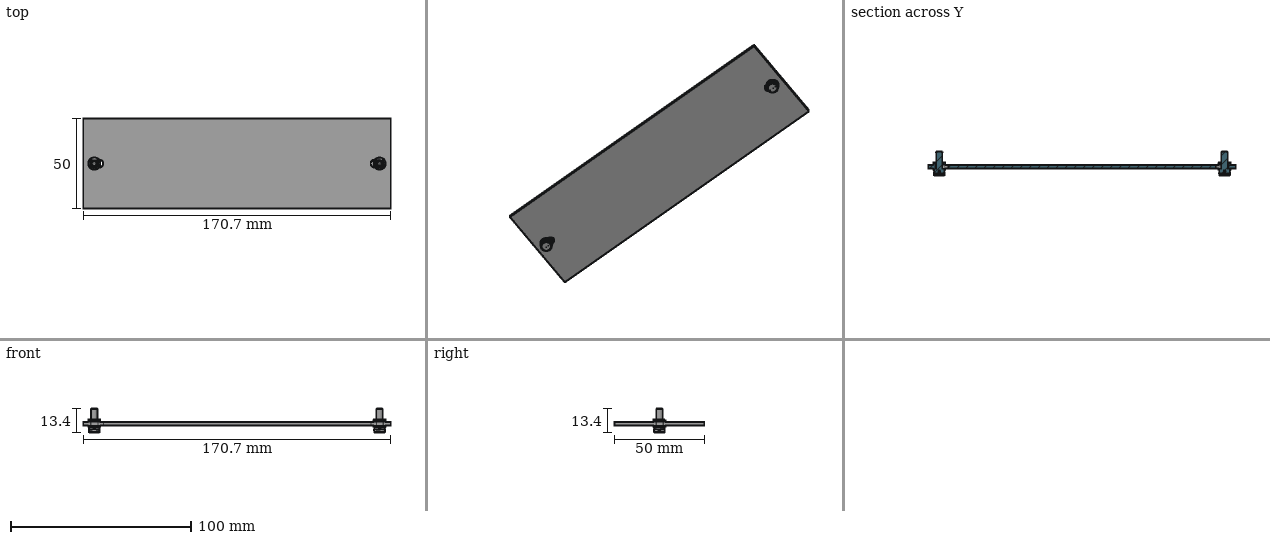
import cadquery as cq

plate_length = 170.7
plate_width = 50.0
plate_thickness = 2.0

slot_width = 4.3
slot_travel = 2.7

screw_spacing = 158.2
shank_diameter = 3.8
shank_rise = 7.5
tip_chamfer = 0.5

washer_diameter = 6.8
top_washer_thickness = 1.0
clip_diameter = 6.7
clip_thickness = 0.5
clip_bore = 4.6
clip_opening = 3.5

bottom_washer_thickness = 0.5
spacer_diameter = 6.1
spacer_thickness = 0.5
ring_diameter = 6.0
ring_thickness = 1.0
ring_hole = 0.9
head_diameter = 6.1
head_thickness = 1.9
head_chamfer = 0.5
head_hole = 1.0
head_hole_drop = 1.0

shank_top = plate_thickness + shank_rise
clip_bottom = plate_thickness + top_washer_thickness
spacer_top = -bottom_washer_thickness
ring_top = spacer_top - spacer_thickness
head_top = ring_top - ring_thickness
head_bottom = head_top - head_thickness


def cylinder(diameter, bottom, top):
    return cq.Workplane("XY").workplane(offset=bottom).circle(diameter / 2).extrude(top - bottom)


def block(length, width, bottom, top):
    return cq.Workplane("XY").workplane(offset=bottom).rect(length, width).extrude(top - bottom)


def make_plate():
    plate = block(plate_length, plate_width, 0, plate_thickness)
    for side in (-1, 1):
        slot_center = side * (screw_spacing - slot_travel) / 2
        slot = (
            cq.Workplane("XY")
            .center(slot_center, 0)
            .slot2D(slot_travel + slot_width, slot_width)
            .extrude(plate_thickness)
        )
        plate = plate.cut(slot)
    return plate


def make_clip():
    clip_top = clip_bottom + clip_thickness
    clip = cylinder(clip_diameter, clip_bottom, clip_top)
    bore = cylinder(clip_bore, clip_bottom, clip_top)
    opening = block(clip_opening, clip_diameter, clip_bottom, clip_top)
    opening = opening.translate((0, clip_diameter / 2, 0))
    return clip.cut(bore).cut(opening)


def make_head():
    head = cylinder(head_diameter, head_bottom, head_top).faces("<Z").chamfer(head_chamfer)
    hole = (
        cq.Workplane("YZ")
        .center(0, head_top - head_hole_drop)
        .circle(head_hole / 2)
        .extrude(head_diameter / 2, both=True)
    )
    return head.cut(hole)


def make_ring():
    ring = cylinder(ring_diameter, head_top, ring_top)
    hole = (
        cq.Workplane("XZ")
        .center(0, (ring_top + head_top) / 2)
        .circle(ring_hole / 2)
        .extrude(ring_diameter / 2, both=True)
    )
    return ring.cut(hole)


def make_screw():
    shank = cylinder(shank_diameter, spacer_top, shank_top).faces(">Z").chamfer(tip_chamfer)
    top_washer = cylinder(washer_diameter, plate_thickness, clip_bottom)
    bottom_washer = cylinder(washer_diameter, spacer_top, 0)
    spacer = cylinder(spacer_diameter, ring_top, spacer_top)
    screw = shank.union(top_washer).union(make_clip())
    return screw.union(bottom_washer).union(spacer).union(make_ring()).union(make_head())


result = make_plate()
for side in (-1, 1):
    result = result.union(make_screw().translate((side * screw_spacing / 2, 0, 0)))